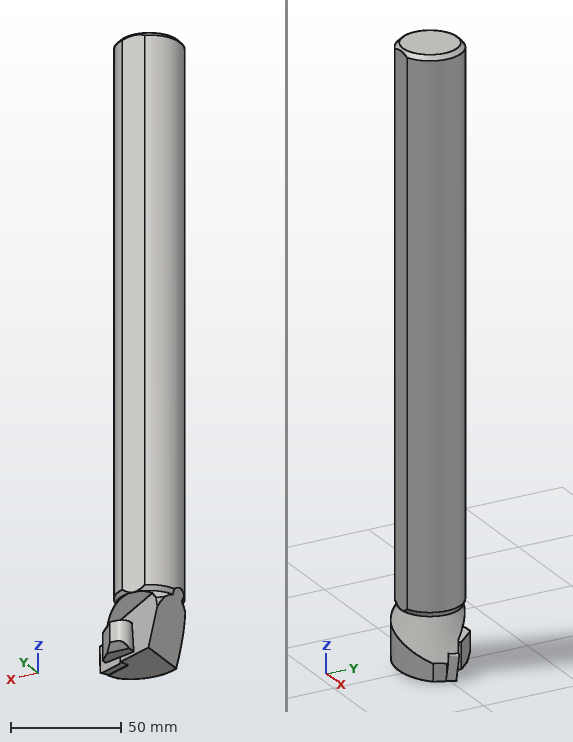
import cadquery as cq
import math

TOTAL_LENGTH = 306.0
SHANK_RADIUS = 32.0 / 2
FLAT_DISTANCE = 15.0
SHANK_CHAMFER = 2.0
SHANK_END_Z = 31.5
NECK_Z = 29.0
NECK_RADIUS = FLAT_DISTANCE

FLARE_ANGLE = 26.0
HEAD_CENTER_X = 3.7
BACK_WALL_RADIUS = 19.5
FRONT_WALL_RADIUS = 23.0
FRONT_WALL_END_X = 22.0
FLANK_CORNER = (24.2, -4.5)
BACK_TOP_Z = 33.5
BACK_ANGLE = 21.4
BOTTOM_GAP = 0.5

TIP = (25.5, -0.3, -0.1)
RAKE_SLOPE_X = 0.29
RAKE_SLOPE_Z = 0.13
INSERT_SIDE = 13.0
INSERT_THICKNESS = 5.0
INSERT_CORNER = 80.0
EDGE_ANGLE = 5.0
NOSE_RADIUS = 1.0

CLAMP_BOTTOM_Z = 4.0
CLAMP_CHAMFER = 3.5
CLAMP_TOP_Z = 17.5
CLAMP_HEIGHT_Y = 13.8
CLAMP_BACK_X = 4.5
CLAMP_SHOULDER_X = 13.0
CLAMP_NOSE = (21.7, 4.3)
CLAMP_BACK_RADIUS = 4.5

RUNOUT_OFFSET = 14.5
MARGIN = 3.0
CUT_SIZE = 183.5


def rise(run, angle):
    return run * math.tan(math.radians(angle))


def rake_plane():
    """Plane of the rake face: origin at the tip, local X along the lower edge."""
    edge_x = -1.0
    edge_z = rise(1.0, EDGE_ANGLE)
    edge_y = RAKE_SLOPE_X * -edge_x + RAKE_SLOPE_Z * edge_z
    return cq.Plane(
        origin=TIP,
        xDir=(edge_x, edge_y, edge_z),
        normal=(RAKE_SLOPE_X, 1.0, -RAKE_SLOPE_Z),
    )


def rhombic_plate(start):
    """Plate under the rake face, its two outer sides starting at `start` from the tip."""
    corner = math.radians(INSERT_CORNER)

    def point(along_lower, along_side):
        return (along_lower + along_side * math.cos(corner), along_side * math.sin(corner))

    end = INSERT_SIDE
    outline = [point(start, start), point(end, start), point(end, end), point(start, end)]
    return cq.Workplane(rake_plane()).polyline(outline).close().extrude(-INSERT_THICKNESS)


def plate_corners():
    """Selector for the plate edges that run through its thickness."""
    return cq.selectors.ParallelDirSelector(rake_plane().zDir)


def rake_side_space():
    """Everything on the open side of the rake plane."""
    return cq.Workplane(rake_plane()).rect(CUT_SIZE, CUT_SIZE).extrude(CUT_SIZE)


def make_insert():
    return rhombic_plate(0).edges(plate_corners()).fillet(NOSE_RADIUS)


def make_shank():
    shank = (
        cq.Workplane("XY", origin=(0, 0, SHANK_END_Z))
        .circle(SHANK_RADIUS)
        .extrude(TOTAL_LENGTH - SHANK_END_Z)
        .faces(">Z")
        .chamfer(SHANK_CHAMFER)
    )
    neck = (
        cq.Workplane("XY", origin=(0, 0, SHANK_END_Z))
        .circle(SHANK_RADIUS)
        .workplane(offset=NECK_Z - SHANK_END_Z)
        .circle(NECK_RADIUS)
        .loft()
    )
    between_flats = cq.Workplane("XY").box(
        CUT_SIZE, 2 * FLAT_DISTANCE, TOTAL_LENGTH, centered=(True, True, False)
    )
    return shank.union(neck).intersect(between_flats)


def make_head():
    flare_radius = NECK_RADIUS + rise(NECK_Z, FLARE_ANGLE)
    flare = (
        cq.Workplane("XY")
        .circle(flare_radius)
        .workplane(offset=NECK_Z)
        .circle(NECK_RADIUS)
        .loft()
    )
    front_center_y = FRONT_WALL_RADIUS - BACK_WALL_RADIUS
    front_run = FRONT_WALL_END_X - HEAD_CENTER_X
    front_end_y = front_center_y - math.sqrt(FRONT_WALL_RADIUS**2 - front_run**2)
    wall = (
        cq.Workplane("XY")
        .moveTo(HEAD_CENTER_X, BACK_WALL_RADIUS)
        .threePointArc((HEAD_CENTER_X - BACK_WALL_RADIUS, 0), (HEAD_CENTER_X, -BACK_WALL_RADIUS))
        .radiusArc((FRONT_WALL_END_X, front_end_y), -FRONT_WALL_RADIUS)
        .lineTo(*FLANK_CORNER)
        .lineTo(FLANK_CORNER[0], BACK_WALL_RADIUS)
        .close()
        .extrude(NECK_Z)
    )
    return flare.intersect(wall)


def chip_pocket():
    """Space above the rake plane, closed at the top by a 45 degree runout."""
    below_runout = (
        cq.Workplane("YZ")
        .moveTo(-RUNOUT_OFFSET, 0)
        .lineTo(CUT_SIZE, CUT_SIZE + RUNOUT_OFFSET)
        .lineTo(CUT_SIZE, -CUT_SIZE)
        .lineTo(-RUNOUT_OFFSET, -CUT_SIZE)
        .close()
        .extrude(CUT_SIZE / 2, both=True)
    )
    return rake_side_space().intersect(below_runout)


def back_relief():
    """Sloping cut across the -X side of the head and the lowest part of the shank."""
    foot_x = -SHANK_RADIUS + rise(BACK_TOP_Z, BACK_ANGLE)
    low_x = foot_x + rise(MARGIN, BACK_ANGLE)
    return (
        cq.Workplane("XZ")
        .moveTo(-SHANK_RADIUS, BACK_TOP_Z)
        .lineTo(low_x, -MARGIN)
        .lineTo(-CUT_SIZE, -MARGIN)
        .lineTo(-CUT_SIZE, BACK_TOP_Z)
        .close()
        .extrude(CUT_SIZE / 2, both=True)
    )


def bottom_relief():
    """Cut parallel to the lower cutting edge, just above it."""
    right_x = TIP[0] + MARGIN
    left_x = -BACK_WALL_RADIUS
    return (
        cq.Workplane("XZ")
        .moveTo(right_x, BOTTOM_GAP - rise(MARGIN, EDGE_ANGLE))
        .lineTo(left_x, BOTTOM_GAP + rise(TIP[0] - left_x, EDGE_ANGLE))
        .lineTo(left_x, -MARGIN)
        .lineTo(right_x, -MARGIN)
        .close()
        .extrude(CUT_SIZE / 2, both=True)
    )


def insert_seat():
    """Pocket open at the two cutting sides of the insert."""
    return rhombic_plate(-MARGIN).edges(plate_corners()).edges("<X and >Z").fillet(NOSE_RADIUS)


def make_clamp():
    finger = (
        cq.Workplane("XY", origin=(0, 0, CLAMP_BOTTOM_Z))
        .moveTo(CLAMP_BACK_X, 0)
        .lineTo(CLAMP_BACK_X, CLAMP_HEIGHT_Y)
        .lineTo(CLAMP_SHOULDER_X, CLAMP_HEIGHT_Y)
        .lineTo(*CLAMP_NOSE)
        .lineTo(CLAMP_NOSE[0], 0)
        .close()
        .extrude(CLAMP_TOP_Z - CLAMP_BOTTOM_Z)
        .edges("<Z and >Y")
        .chamfer(CLAMP_CHAMFER)
        .edges("|Z and <X and >Y")
        .fillet(CLAMP_BACK_RADIUS)
    )
    return finger.intersect(rake_side_space())


def make_holder():
    head = make_head().cut(chip_pocket()).cut(bottom_relief()).cut(insert_seat())
    return make_shank().union(head).cut(back_relief()).union(make_clamp())


insert = make_insert()
holder = make_holder().cut(insert)

result = cq.Compound.makeCompound([holder.val(), insert.val()])